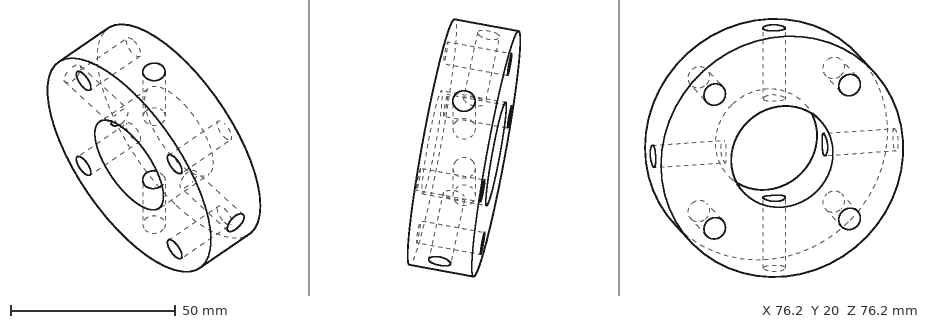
import cadquery as cq

outer_diameter = 76.2
thickness = 20.0
bore_diameter = 32.0

hole_diameter = 6.8
bolt_circle_diameter = 60.0
bolt_count = 4
first_bolt_angle = 45.0


def make_ring():
    """Thick disc with a central bore, centred on the origin."""
    return (
        cq.Workplane("XZ")
        .circle(outer_diameter / 2)
        .circle(bore_diameter / 2)
        .extrude(thickness / 2, both=True)
    )


def make_bolt_holes():
    """Cutters for the holes parallel to the ring axis."""
    return (
        cq.Workplane("XZ")
        .polarArray(bolt_circle_diameter / 2, first_bolt_angle, 360, bolt_count)
        .circle(hole_diameter / 2)
        .extrude(thickness, both=True)
    )


def make_cross_hole(plane):
    """Cutter passing through both walls of the ring, normal to the plane."""
    return cq.Workplane(plane).circle(hole_diameter / 2).extrude(outer_diameter, both=True)


result = make_ring().cut(make_bolt_holes())

for plane in ("XY", "YZ"):
    result = result.cut(make_cross_hole(plane))